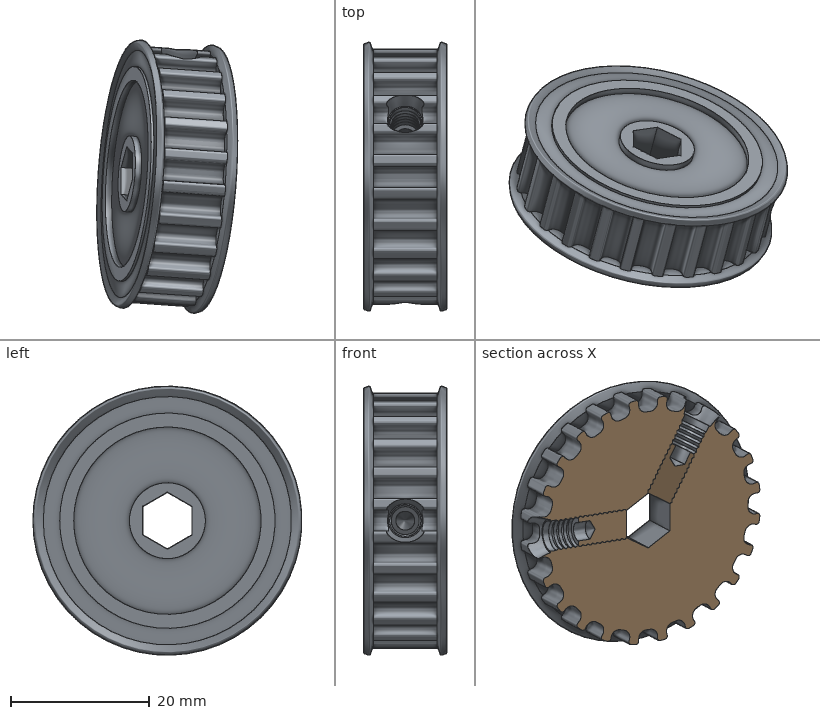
import cadquery as cq
import math


overall_width = 12.0
rim_radius = 19.42
half_width = overall_width / 2

flange_thickness = 1.0
flange_bore_radius = 15.55
bend_radius_position = 17.9
bend_angle = math.radians(20)
rim_fillet = 0.25

tooth_count = 24
tooth_pitch_angle = 2 * math.pi / tooth_count
tip_radius = 18.55
groove_depth = 2.05
groove_half_width = 1.5
groove_flat_half_width = 0.35
tooth_tip_fillet = 0.45
groove_arc_radius = groove_half_width - groove_flat_half_width
groove_floor_radius = tip_radius - groove_depth

hub_radius = 5.48
recess_outer_radius = 13.52
recess_depth = 0.95
bore_across_flats = 7.07
bore_flat_distance = bore_across_flats / 2
bore_across_corners = bore_across_flats / math.cos(math.pi / 6)

screw_angles = [90, -30]
screw_length = 8.0
screw_turns = 10
hole_turns = 14
thread_pitch = screw_length / screw_turns
thread_minor_radius = 2.02
thread_major_radius = 2.25
socket_radius = 1.35
socket_depth = 1.95
socket_point_angle = math.radians(118)
mouth_start = 16.12
mouth_small_radius = 2.45
mouth_half_angle = math.radians(18)

rim_run = (rim_radius - bend_radius_position - rim_fillet
           - (flange_thickness - rim_fillet) * math.sin(bend_angle)) / math.cos(bend_angle)
dish_depth = rim_run * math.sin(bend_angle) + rim_fillet * (1 - math.cos(bend_angle))
flange_outer_x = half_width - dish_depth
flange_inner_x = flange_outer_x - flange_thickness


def make_flange():
    """Flange at the +X end, revolved from its (x, radius) section."""
    slope_length = rim_run + rim_fillet
    along = (math.sin(bend_angle), math.cos(bend_angle))
    across = (-math.cos(bend_angle), math.sin(bend_angle))
    inner_bend = bend_radius_position + flange_thickness * math.tan(bend_angle / 2)

    def rim_point(distance_along, distance_across):
        return (
            flange_outer_x + distance_along * along[0] + distance_across * across[0],
            bend_radius_position + distance_along * along[1] + distance_across * across[1],
        )

    corner_inset = rim_fillet * (1 - math.sqrt(0.5))
    return (
        cq.Workplane("XY")
        .moveTo(flange_inner_x, flange_bore_radius)
        .lineTo(flange_outer_x, flange_bore_radius)
        .lineTo(flange_outer_x, bend_radius_position)
        .lineTo(*rim_point(rim_run, 0))
        .threePointArc(
            rim_point(slope_length - corner_inset, corner_inset),
            rim_point(slope_length, rim_fillet),
        )
        .lineTo(*rim_point(slope_length, flange_thickness - rim_fillet))
        .threePointArc(
            rim_point(slope_length - corner_inset, flange_thickness - corner_inset),
            rim_point(rim_run, flange_thickness),
        )
        .lineTo(flange_inner_x, inner_bend)
        .close()
        .revolve(360, (0, 0, 0), (1, 0, 0))
    )


def make_toothed_rim():
    """Gear-like cylinder between the flanges, with one groove centred on +Z."""
    fillet_centre_x = groove_half_width + tooth_tip_fillet
    fillet_centre_y = math.sqrt((tip_radius - tooth_tip_fillet) ** 2 - fillet_centre_x ** 2)
    tip_angle = math.atan2(fillet_centre_x, fillet_centre_y)
    fillet_end = (tip_radius * math.sin(tip_angle), tip_radius * math.cos(tip_angle))
    fillet_mid_angle = (tip_angle - math.pi / 2) / 2
    fillet_mid = (
        fillet_centre_x + tooth_tip_fillet * math.sin(fillet_mid_angle),
        fillet_centre_y + tooth_tip_fillet * math.cos(fillet_mid_angle),
    )
    fillet_start = (groove_half_width, fillet_centre_y)
    arc_centre_y = groove_floor_radius + groove_arc_radius
    arc_top = (groove_half_width, arc_centre_y)
    arc_mid = (
        groove_flat_half_width + groove_arc_radius * math.sqrt(0.5),
        arc_centre_y - groove_arc_radius * math.sqrt(0.5),
    )
    floor_end = (groove_flat_half_width, groove_floor_radius)

    def placed(point, groove_angle, side):
        """Point of a groove half (side is 1 or -1) turned to its place on the wheel."""
        x = side * point[0]
        y = point[1]
        return (
            x * math.cos(groove_angle) + y * math.sin(groove_angle),
            y * math.cos(groove_angle) - x * math.sin(groove_angle),
        )

    outline = cq.Workplane("YZ").workplane(offset=-flange_inner_x).moveTo(*placed(fillet_end, 0, -1))
    for groove in range(tooth_count):
        angle = groove * tooth_pitch_angle
        next_angle = angle + tooth_pitch_angle
        tooth_middle = placed((0, tip_radius), angle + tooth_pitch_angle / 2, 1)
        outline = (
            outline
            .threePointArc(placed(fillet_mid, angle, -1), placed(fillet_start, angle, -1))
            .lineTo(*placed(arc_top, angle, -1))
            .threePointArc(placed(arc_mid, angle, -1), placed(floor_end, angle, -1))
            .lineTo(*placed(floor_end, angle, 1))
            .threePointArc(placed(arc_mid, angle, 1), placed(arc_top, angle, 1))
            .lineTo(*placed(fillet_start, angle, 1))
            .threePointArc(placed(fillet_mid, angle, 1), placed(fillet_end, angle, 1))
            .threePointArc(tooth_middle, placed(fillet_end, next_angle, -1))
        )
    return outline.close().extrude(2 * flange_inner_x)


def thread_profile(turns):
    """Half section (radius, height) of a threaded rod that starts at the bore flat, open at the axis."""
    profile = cq.Workplane("XZ").moveTo(0, bore_flat_distance).lineTo(thread_minor_radius, bore_flat_distance)
    for turn in range(turns):
        crest_height = bore_flat_distance + turn * thread_pitch
        profile = (
            profile
            .lineTo(thread_major_radius, crest_height + thread_pitch / 2)
            .lineTo(thread_minor_radius, crest_height + thread_pitch)
        )
    return profile


def make_screw_hole():
    """Cutter along +Z: thread, plain counterbore and tapered mouth."""
    thread_end = bore_flat_distance + hole_turns * thread_pitch
    mouth_large_radius = mouth_small_radius + (rim_radius - mouth_start) * math.tan(mouth_half_angle)
    return (
        thread_profile(hole_turns)
        .lineTo(thread_major_radius, thread_end + thread_pitch / 2)
        .lineTo(thread_major_radius, mouth_start)
        .lineTo(mouth_small_radius, mouth_start)
        .lineTo(mouth_large_radius, rim_radius)
        .lineTo(0, rim_radius)
        .close()
        .revolve(360, (0, 0, 0), (0, 1, 0))
    )


def make_set_screw(angle):
    """Set screw from the bore flat outward, with a round, cone-bottomed socket in its outer end."""
    outer_end = bore_flat_distance + screw_length
    socket_point_depth = socket_depth + socket_radius / math.tan(socket_point_angle / 2)
    return (
        thread_profile(screw_turns)
        .lineTo(socket_radius, outer_end)
        .lineTo(socket_radius, outer_end - socket_depth)
        .lineTo(0, outer_end - socket_point_depth)
        .close()
        .revolve(360, (0, 0, 0), (0, 1, 0))
        .rotate((0, 0, 0), (1, 0, 0), angle)
    )


def make_wheel():
    """Toothed wheel with shoulders for the flanges, face recesses, hex bore and screw holes."""
    shoulders = cq.Workplane("YZ").circle(flange_bore_radius).extrude(half_width, both=True)
    wheel = make_toothed_rim().union(shoulders)

    recess = (
        cq.Workplane("YZ")
        .workplane(offset=half_width - recess_depth)
        .circle(recess_outer_radius)
        .circle(hub_radius)
        .extrude(recess_depth)
    )
    wheel = wheel.cut(recess).cut(recess.mirror("YZ"))

    bore = (
        cq.Workplane("YZ")
        .polygon(6, bore_across_corners)
        .extrude(half_width, both=True)
        .rotate((0, 0, 0), (1, 0, 0), 90)
    )
    wheel = wheel.cut(bore)

    screw_hole = make_screw_hole()
    for angle in screw_angles:
        wheel = wheel.cut(screw_hole.rotate((0, 0, 0), (1, 0, 0), angle))
    return wheel


wheel = make_wheel()
right_flange = make_flange()
left_flange = right_flange.mirror("YZ")
set_screws = [make_set_screw(angle) for angle in screw_angles]

result = cq.Compound.makeCompound([
    wheel.val(),
    left_flange.val(),
    right_flange.val(),
    *[screw.val() for screw in set_screws],
])